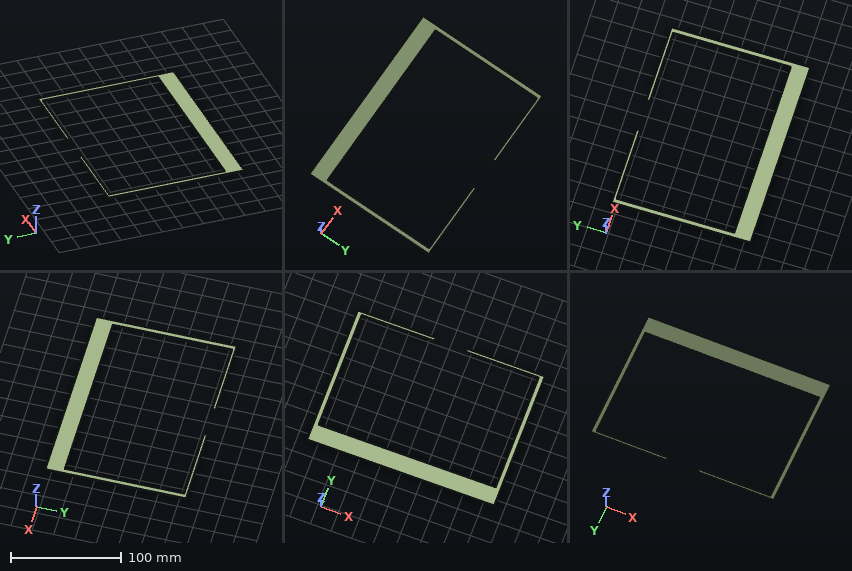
import cadquery as cq

width = 181.0
depth = 132.0
thickness = 1.5

side_border = 4.9
bottom_border = 17.0
top_border = 3.0

gap_width = 30.0

window_width = width - 2 * side_border
window_depth = depth - bottom_border - top_border
window_center_y = (bottom_border - top_border) / 2

plate = cq.Workplane("XY").box(width, depth, thickness)

window = (
    cq.Workplane("XY")
    .center(0, window_center_y)
    .rect(window_width, window_depth)
    .extrude(thickness, both=True)
)

gap = (
    cq.Workplane("XY")
    .center(0, (depth - top_border) / 2)
    .rect(gap_width, top_border)
    .extrude(thickness, both=True)
)

result = plate.cut(window).cut(gap)